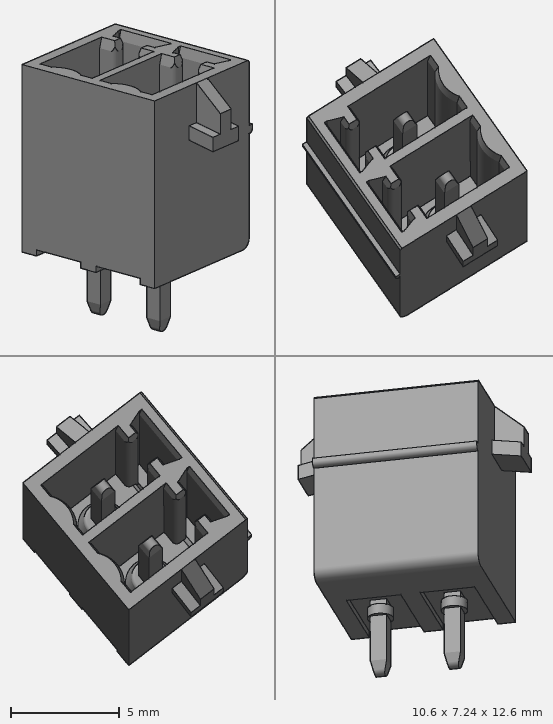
import cadquery as cq
import math

BODY_WIDTH = 7.8
BODY_DEPTH = 7.0
BODY_HEIGHT = 9.2
TOP_BACK_CHAMFER = 0.1
BOTTOM_BACK_RADIUS = 0.5

PITCH = 3.5
POLE_XS = (-PITCH / 2, PITCH / 2)
PIN_Y = 3.0

FLOOR_Z = 1.51
OUTER_WALL = 0.6
DIVIDER_TOP = 0.45
DIVIDER_DRAFT = 0.04
LEAD_IN_DEPTH = 0.5
LEAD_IN_WIDTH = 0.15
FRONT_WALL = 0.58

ARCH_RADIUS = 1.39
ARCH_CENTER_Y = -0.5

RECESS_BACK_Y = 6.33
RECESS_FRONT_Y = 5.6
RECESS_BACK_WIDTH = 2.95
RECESS_FRONT_WIDTH = 2.45

LEFT_RAMP = ((0.18, 0.18), (0.28, 0.83))
RIGHT_RAMP = ((0.28, 0.28),)

RIB_FRONT_Y = 4.99
RIB_BACK_Y = 5.72
RIB_GAP = 1.26
RIB_CORNER_RADIUS = 0.25
RIB_FOOT_Z = 0.44

BOSS_BASE_RADIUS = 1.15
BOSS_SHOULDER_RADIUS = 0.88
BOSS_TOP_RADIUS = 0.7
BOSS_CONE_HEIGHT = 0.75

PIN_WIDTH = 0.78
PIN_TOP_Z = 8.0
PIN_BOTTOM_Z = -3.4
PIN_TIP_LENGTH = 0.64
PIN_TIP_WIDTH = 0.45
PIN_ROUND_WIDTH = 0.57
PIN_ROUND_HEIGHT = 0.24
COLLAR_DIAMETER = 1.21
COLLAR_HEIGHT = 0.49

NOTCH_WIDTH = 2.6
NOTCH_HEIGHT = 0.3

LATCH_REACH = 1.4
LATCH_Y = BODY_DEPTH / 2
LATCH_STEM_WIDTH = 0.81
LATCH_BASE_WIDTH = 1.9
LATCH_SLOPE_DROP = 1.2
LATCH_BASE_DROP = 1.95
LATCH_BASE_THICKNESS = 0.7
LATCH_BASE_ANGLE = 10.0

BEAD_REACH = 0.24
BEAD_HEIGHT = 0.4
BEAD_RADIUS = 0.23
BEAD_DROP = 3.21


def box(x0, x1, y0, y1, z0, z1):
    """Box between two corners, given as its limits along each axis."""
    block = cq.Workplane("XY").box(x1 - x0, y1 - y0, z1 - z0, centered=False)
    return block.translate((x0, y0, z0))


def along_x(points, x0, x1):
    """Prism along X from an outline of (y, z) points."""
    return cq.Workplane("YZ").polyline(points).close().extrude(x1 - x0).translate((x0, 0, 0))


def along_y(points, y0, y1):
    """Prism along Y from an outline of (x, z) points."""
    return cq.Workplane("XZ").polyline(points).close().extrude(y0 - y1).translate((0, y0, 0))


def make_shell():
    half = BODY_WIDTH / 2
    shell = box(-half, half, 0, BODY_DEPTH, 0, BODY_HEIGHT)
    shell = shell.edges(">Y and >Z").chamfer(TOP_BACK_CHAMFER)
    return shell.edges(">Y and <Z").fillet(BOTTOM_BACK_RADIUS)


def make_bead():
    top = BODY_HEIGHT - BEAD_DROP
    half = BODY_WIDTH / 2
    bead = box(-half, half, BODY_DEPTH - BEAD_REACH, BODY_DEPTH + BEAD_REACH, top - BEAD_HEIGHT, top)
    return bead.edges(">Y and <Z").fillet(BEAD_RADIUS)


def make_right_socket():
    """Main cavity of the right pole, from the front wall to the middle of the ribs."""
    rib_middle = (RIB_FRONT_Y + RIB_BACK_Y) / 2
    lead_in_z = BODY_HEIGHT - LEAD_IN_DEPTH
    outer_x = BODY_WIDTH / 2 - OUTER_WALL
    inner_x = DIVIDER_TOP / 2
    side_profile = [
        (FRONT_WALL + LEAD_IN_WIDTH, FLOOR_Z),
        (rib_middle, FLOOR_Z),
        (rib_middle, BODY_HEIGHT),
        (FRONT_WALL, BODY_HEIGHT),
        (FRONT_WALL + LEAD_IN_WIDTH, lead_in_z),
    ]
    front_profile = [
        (inner_x + DIVIDER_DRAFT, FLOOR_Z),
        (outer_x, FLOOR_Z),
        (outer_x, BODY_HEIGHT),
        (inner_x, BODY_HEIGHT),
    ]
    cavity = along_x(side_profile, 0, BODY_WIDTH / 2)
    return cavity.intersect(along_y(front_profile, 0, BODY_DEPTH))


def make_recess(x, ramp):
    """Dovetail recess, open to the socket, with a lead-in along its back edge and a ramped floor."""
    back = RECESS_BACK_WIDTH / 2
    front = RECESS_FRONT_WIDTH / 2
    outline = [
        (x - front, RIB_FRONT_Y),
        (x + front, RIB_FRONT_Y),
        (x + front, RECESS_FRONT_Y),
        (x + back, RECESS_BACK_Y),
        (x - back, RECESS_BACK_Y),
        (x - front, RECESS_FRONT_Y),
    ]
    recess = cq.Workplane("XY").polyline(outline).close().extrude(BODY_HEIGHT)

    floor_y = RIB_BACK_Y - sum(run for run, drop in ramp)
    floor_z = FLOOR_Z
    side_profile = [
        (RECESS_BACK_Y, BODY_HEIGHT),
        (RIB_FRONT_Y, BODY_HEIGHT),
        (RIB_FRONT_Y, floor_z),
        (floor_y, floor_z),
    ]
    for run, drop in ramp:
        floor_y += run
        floor_z -= drop
        side_profile.append((floor_y, floor_z))
    side_profile.append((RECESS_BACK_Y, floor_z))
    recess = recess.intersect(along_x(side_profile, x - back, x + back))

    lead_in = [
        (RECESS_BACK_Y, BODY_HEIGHT - LEAD_IN_DEPTH),
        (RECESS_BACK_Y + LEAD_IN_WIDTH, BODY_HEIGHT),
        (RECESS_BACK_Y, BODY_HEIGHT),
    ]
    return recess.union(along_x(lead_in, x - back, x + back))


def tapered_outline(low, high, lead_in_z):
    """Upright outline from low to high across, narrowed at the rim by the lead-in on both sides."""
    return [
        (low, RIB_FOOT_Z),
        (high, RIB_FOOT_Z),
        (high, lead_in_z),
        (high - LEAD_IN_WIDTH, BODY_HEIGHT),
        (low + LEAD_IN_WIDTH, BODY_HEIGHT),
        (low, lead_in_z),
    ]


def make_rib(x0, x1):
    """Upright rib with rounded corners, cut at the top by flat lead-in slopes."""
    lead_in_z = BODY_HEIGHT - LEAD_IN_DEPTH
    column = box(x0, x1, RIB_FRONT_Y, RIB_BACK_Y, RIB_FOOT_Z, BODY_HEIGHT)
    column = column.edges("|Z").fillet(RIB_CORNER_RADIUS)
    end_slopes = along_y(tapered_outline(x0, x1, lead_in_z), RIB_FRONT_Y, RIB_BACK_Y)
    side_slopes = along_x(tapered_outline(RIB_FRONT_Y, RIB_BACK_Y, lead_in_z), x0, x1)
    return column.intersect(end_slopes).intersect(side_slopes)


def make_ribs():
    right_rib_x = PITCH / 2 + RIB_GAP / 2
    divider_rib_x = PITCH / 2 - RIB_GAP / 2
    wall_x = BODY_WIDTH / 2 - LEAD_IN_WIDTH
    ribs = make_rib(-divider_rib_x, divider_rib_x)
    ribs = ribs.union(make_rib(right_rib_x, wall_x))
    return ribs.union(make_rib(-wall_x, -right_rib_x))


def make_arch(x):
    """Cone segment that bulges from the front wall into the socket."""
    lead_in_z = BODY_HEIGHT - LEAD_IN_DEPTH
    low_radius = ARCH_RADIUS + LEAD_IN_WIDTH
    profile = [
        (0, FLOOR_Z),
        (low_radius, FLOOR_Z),
        (low_radius, lead_in_z),
        (ARCH_RADIUS, BODY_HEIGHT),
        (0, BODY_HEIGHT),
    ]
    cone = cq.Workplane("XZ").polyline(profile).close().revolve(360, (0, 0), (0, 1))
    inside = box(x - low_radius, x + low_radius, FRONT_WALL / 2, PIN_Y, FLOOR_Z, BODY_HEIGHT)
    return cone.translate((x, ARCH_CENTER_Y, 0)).intersect(inside)


def make_boss(x):
    """Steep cone with a rounded shoulder."""
    shoulder = BOSS_SHOULDER_RADIUS - BOSS_TOP_RADIUS
    cone_top = FLOOR_Z + BOSS_CONE_HEIGHT
    arc_offset = shoulder * math.sqrt(0.5)
    boss = (
        cq.Workplane("XZ").moveTo(0, FLOOR_Z)
        .lineTo(BOSS_BASE_RADIUS, FLOOR_Z)
        .lineTo(BOSS_SHOULDER_RADIUS, cone_top)
        .threePointArc(
            (BOSS_TOP_RADIUS + arc_offset, cone_top + arc_offset),
            (BOSS_TOP_RADIUS, cone_top + shoulder),
        )
        .lineTo(0, cone_top + shoulder).close()
        .revolve(360, (0, 0), (0, 1))
    )
    return boss.translate((x, PIN_Y, 0))


def make_pin(x):
    """Square pin, tapered at both ends, with tips rounded about X, and a round collar."""
    half = PIN_WIDTH / 2
    tip = PIN_TIP_WIDTH / 2
    low = PIN_BOTTOM_Z + PIN_TIP_LENGTH
    high = PIN_TOP_Z - PIN_TIP_LENGTH
    round_half = PIN_ROUND_WIDTH / 2
    round_low = PIN_BOTTOM_Z + PIN_ROUND_HEIGHT
    round_high = PIN_TOP_Z - PIN_ROUND_HEIGHT
    front_profile = [
        (-tip, PIN_BOTTOM_Z),
        (tip, PIN_BOTTOM_Z),
        (half, low),
        (half, high),
        (tip, PIN_TOP_Z),
        (-tip, PIN_TOP_Z),
        (-half, high),
        (-half, low),
    ]
    side = (
        cq.Workplane("YZ").moveTo(-round_half, round_low)
        .threePointArc((0, PIN_BOTTOM_Z), (round_half, round_low))
        .lineTo(half, low).lineTo(half, high).lineTo(round_half, round_high)
        .threePointArc((0, PIN_TOP_Z), (-round_half, round_high))
        .lineTo(-half, high).lineTo(-half, low).close()
        .extrude(half, both=True)
    )
    pin = along_y(front_profile, -half, half).intersect(side)
    collar = cq.Workplane("XY").circle(COLLAR_DIAMETER / 2).extrude(-COLLAR_HEIGHT)
    return pin.union(collar).translate((x, PIN_Y, 0))


def make_notch(x):
    half = NOTCH_WIDTH / 2
    return box(x - half, x + half, 0, PIN_Y + half, 0, NOTCH_HEIGHT)


def make_right_latch():
    """Upright stem with a sloping top on a wider base that tilts down outward."""
    wall = BODY_WIDTH / 2
    tip = wall + LATCH_REACH
    tilt = LATCH_REACH * math.tan(math.radians(LATCH_BASE_ANGLE))
    base_top = BODY_HEIGHT - LATCH_BASE_DROP
    base_bottom = base_top - LATCH_BASE_THICKNESS
    stem = [
        (wall, BODY_HEIGHT),
        (tip, BODY_HEIGHT - LATCH_SLOPE_DROP),
        (tip, base_bottom - tilt),
        (wall, base_bottom),
    ]
    base = [
        (wall, base_top),
        (tip, base_top - tilt),
        (tip, base_bottom - tilt),
        (wall, base_bottom),
    ]
    half_stem = LATCH_STEM_WIDTH / 2
    half_base = LATCH_BASE_WIDTH / 2
    latch = along_y(stem, LATCH_Y - half_stem, LATCH_Y + half_stem)
    return latch.union(along_y(base, LATCH_Y - half_base, LATCH_Y + half_base))


result = make_shell().union(make_bead())

right_socket = make_right_socket()
result = result.cut(right_socket).cut(right_socket.mirror("YZ"))
for pole_x in POLE_XS:
    result = result.cut(make_notch(pole_x))
result = result.cut(make_recess(-PITCH / 2, LEFT_RAMP)).cut(make_recess(PITCH / 2, RIGHT_RAMP))

result = result.union(make_ribs())
for pole_x in POLE_XS:
    result = result.union(make_arch(pole_x)).union(make_boss(pole_x)).union(make_pin(pole_x))

right_latch = make_right_latch()
result = result.union(right_latch).union(right_latch.mirror("YZ"))